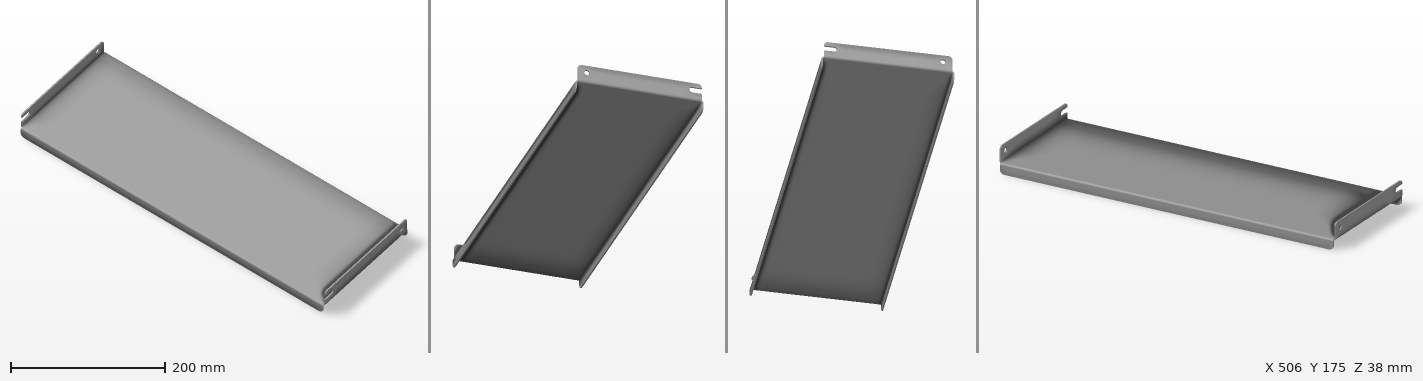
import cadquery as cq

length = 506.0
width = 175.0
height = 38.0

thickness = 2.0
inner_bend_radius = 1.0
outer_bend_radius = inner_bend_radius + thickness

tray_top = 15.0
tray_bottom = tray_top - thickness
flange_end_inset = 2.0
flange_length = length - 2 * flange_end_inset
flange_corner_radius = 6.5
wall_length = width - 2 * outer_bend_radius
wall_corner_radius = 5.0

mount_z = height - 10.0
hole_diameter = 7.0
hole_edge_distance = 12.0
slot_width = 7.5
slot_depth = 16.5


def block(size_x, size_y, low, high):
    """Box centred in X and Y between two heights."""
    return cq.Workplane("XY", origin=(0, 0, low)).box(size_x, size_y, high - low, centered=(True, True, False))


def side_flanges():
    """Downward channel along X with rounded bends and rounded lower flange corners."""
    outer = block(flange_length, width, 0, tray_top)
    outer = outer.faces(">Z").edges("|X").fillet(outer_bend_radius)
    inner = block(flange_length, width - 2 * thickness, 0, tray_bottom)
    inner = inner.faces(">Z").edges("|X").fillet(inner_bend_radius)
    return outer.cut(inner).faces("<Z").edges("|Y").fillet(flange_corner_radius)


def end_walls():
    """Upward channel along Y with rounded bends and rounded upper wall corners."""
    outer = block(length, wall_length, tray_bottom, height)
    outer = outer.faces("<Z").edges("|Y").fillet(outer_bend_radius)
    inner = block(length - 2 * thickness, wall_length, tray_top, height)
    inner = inner.faces("<Z").edges("|Y").fillet(inner_bend_radius)
    return outer.cut(inner).faces(">Z").edges("|X").fillet(wall_corner_radius)


def mount_plane():
    """Plane across the part whose origin lies at the mounting height."""
    return cq.Workplane("YZ", origin=(0, 0, mount_z))


def mounting_cuts():
    """Round hole near the back edge and round-ended slot open at the front edge."""
    wall_edge = wall_length / 2
    slot_end_y = -wall_edge + slot_depth - slot_width / 2
    hole = mount_plane().center(wall_edge - hole_edge_distance, 0).circle(hole_diameter / 2)
    slot = mount_plane().center(slot_end_y - slot_depth, 0).slot2D(2 * slot_depth + slot_width, slot_width)
    return hole.extrude(length, both=True).union(slot.extrude(length, both=True))


def tray():
    """Both channels share the flat sheet; the ends of the downward one stop clear of the upward bends."""
    flat_length = length - 2 * outer_bend_radius
    bend_relief = block(length, wall_length, 0, tray_top).cut(block(flat_length, wall_length, 0, tray_top))
    return side_flanges().cut(bend_relief).union(end_walls())


result = tray().cut(mounting_cuts())